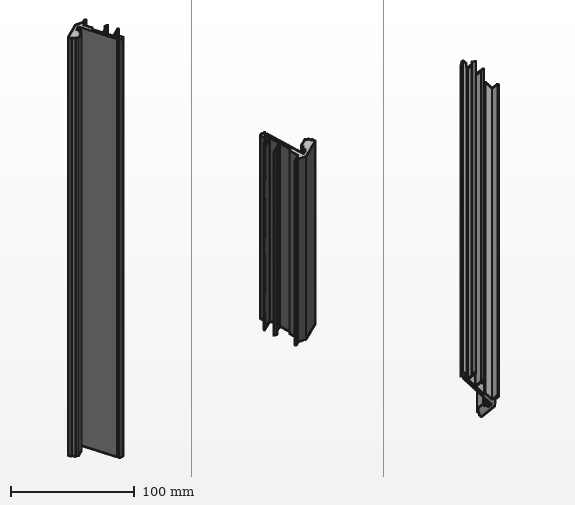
import cadquery as cq

LENGTH = 500.0
WIDTH = 41.0
HEIGHT = 25.0

WEB_BOTTOM = 14.0
WEB_TOP = 16.0
THICK_WEB_TOP = 17.5
THICK_WEB_END = 14.0

LIP_START = 37.0
LIP_TOP = 18.0
LIP_EDGE_BOTTOM = 16.5
LIP_FOOT_X = 39.0
LIP_FOOT_BOTTOM = 13.5
LIP_UNDERSIDE = 15.0

UPSTAND_OUTER_X = 4.5
UPSTAND_INNER_X = 6.0
UPSTAND_TOP = 23.5
SHOULDER_BOTTOM = 15.0
SHOULDER_TOP = 20.0

LEG_INNER_X = 6.0
LEG_TOP = 13.0
BULGE_X = 8.0
BULGE_TOP = 9.0
BULGE_BOTTOM = 2.5
LEG_FOOT_X = 3.0
LEG_STEP_Y = 1.0

GROOVE_X = 3.0
GROOVE_BOTTOM = 10.5
LEG_RIM = 0.75

STEM_THICKNESS = 0.6
HOOK_INNER_FACES = ((24.5, -1), (33.0, 1))
BARB_DEPTH = 1.5
BARB_BOTTOM = 22.0
BARB_SHOULDER = 23.0


def extrude_profile(points):
    return cq.Workplane("XY").polyline(points).close().extrude(LENGTH)


def make_body():
    return extrude_profile([
        (0, 0),
        (LEG_FOOT_X, 0),
        (LEG_FOOT_X, LEG_STEP_Y),
        (LEG_INNER_X, LEG_STEP_Y),
        (LEG_INNER_X, BULGE_BOTTOM),
        (BULGE_X, BULGE_BOTTOM),
        (BULGE_X, BULGE_TOP),
        (LEG_INNER_X, BULGE_TOP),
        (LEG_INNER_X, LEG_TOP),
        (LEG_INNER_X - LEG_RIM, LEG_TOP),
        (LEG_INNER_X - LEG_RIM, GROOVE_BOTTOM),
        (GROOVE_X, GROOVE_BOTTOM),
        (GROOVE_X, WEB_BOTTOM),
        (LIP_START, WEB_BOTTOM),
        (LIP_START, LIP_UNDERSIDE),
        (LIP_FOOT_X, LIP_UNDERSIDE),
        (LIP_FOOT_X, LIP_FOOT_BOTTOM),
        (WIDTH, LIP_EDGE_BOTTOM),
        (WIDTH, LIP_TOP),
        (LIP_START, LIP_TOP),
        (LIP_START, WEB_TOP),
        (THICK_WEB_END, WEB_TOP),
        (THICK_WEB_END, THICK_WEB_TOP),
        (UPSTAND_INNER_X, THICK_WEB_TOP),
        (UPSTAND_INNER_X, UPSTAND_TOP),
        (UPSTAND_OUTER_X, UPSTAND_TOP),
        (UPSTAND_OUTER_X, SHOULDER_TOP),
        (0, SHOULDER_BOTTOM),
    ])


def make_hook(inner_x, direction):
    outer_x = inner_x + direction * STEM_THICKNESS
    barb_x = outer_x + direction * BARB_DEPTH
    return extrude_profile([
        (inner_x, WEB_BOTTOM),
        (outer_x, WEB_BOTTOM),
        (outer_x, BARB_BOTTOM),
        (barb_x, BARB_BOTTOM),
        (barb_x, BARB_SHOULDER),
        (outer_x, HEIGHT),
        (inner_x, HEIGHT),
    ])


result = make_body()
for face_x, barb_direction in HOOK_INNER_FACES:
    result = result.union(make_hook(face_x, barb_direction))